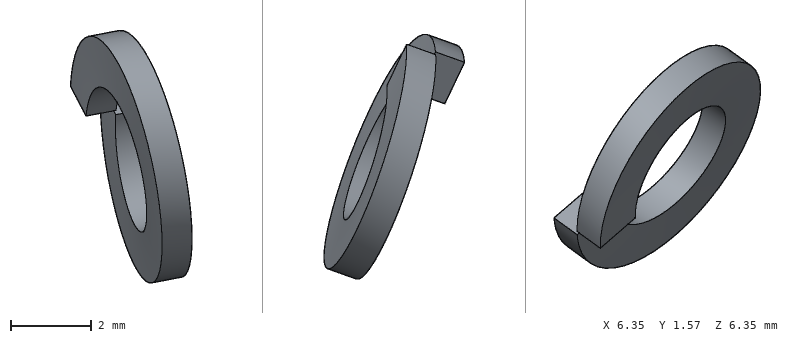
import cadquery as cq

outer_diameter = 6.35
inner_diameter = 3.76
thickness = 0.79
pitch = thickness
split_gap = 0.135

outer_radius = outer_diameter / 2
inner_radius = inner_diameter / 2
section_width = outer_radius - inner_radius
mean_radius = (outer_radius + inner_radius) / 2


def helical_turn():
    """One right-handed turn about Z, starting on +X and centred in height."""
    path = cq.Wire.makeHelix(pitch, pitch, mean_radius)
    coil = (
        cq.Workplane("XZ")
        .center(mean_radius, 0)
        .rect(section_width, thickness)
        .sweep(cq.Workplane(path), isFrenet=True)
    )
    return coil.translate((0, 0, -pitch / 2))


def split_cutter():
    """Parallel-sided slot that separates the two ends on the -X side."""
    slot_length = outer_diameter
    slot_depth = 2 * (pitch + thickness)
    return cq.Workplane("XY").box(slot_length, slot_depth, split_gap).translate((-slot_length / 2, 0, 0))


coil = helical_turn().rotate((0, 0, 0), (0, 0, 1), 180).rotate((0, 0, 0), (1, 0, 0), -90)
result = coil.cut(split_cutter())